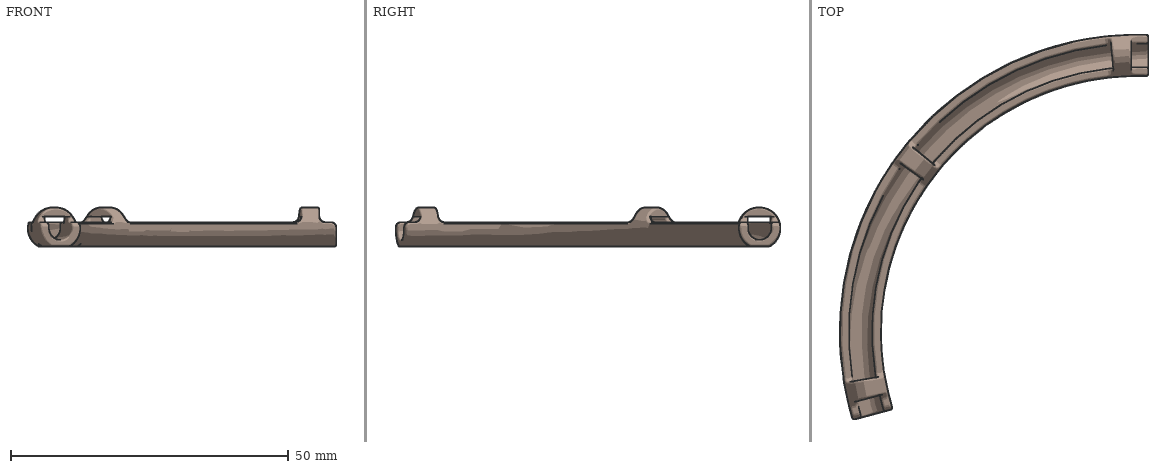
import cadquery as cq
import math

PATH_RADIUS = 49.94
STRAIGHT_LENGTH = 2.0
START_ANGLE = 90.0
SWEEP_ANGLE = 105.0

TUBE_RADIUS = 3.75
FLAT_DEPTH = 3.35
CHANNEL_RADIUS = 2.1
CHANNEL_CEILING = CHANNEL_RADIUS

RIM_HEIGHT = 1.1
BAND_LENGTH = 3.5
END_SLOT_LENGTH = 3.05
CORNER_RADIUS = CHANNEL_CEILING - RIM_HEIGHT
EDGE_RADIUS = 0.43

CUT_MARGIN = 5.0
TOLERANCE = 5e-3

END_ANGLE = START_ANGLE + SWEEP_ANGLE
MIDDLE_ANGLE = START_ANGLE + SWEEP_ANGLE / 2
ORIGIN = (0, 0, 0)
UPWARD = (0, 0, 1)
SECTION_AXIS = (0, 1, 0)


def arc_angle(length):
    """Angle in degrees that a length takes up along the arc of the tube axis."""
    return math.degrees(length / PATH_RADIUS)


def turned(shape, angle):
    """Turn a shape about the arc centre."""
    return shape.rotate(ORIGIN, UPWARD, angle)


def along_path(section):
    """Carry a section, drawn in the XZ plane around x = PATH_RADIUS, along the whole tube axis."""
    outline = section.val()
    arc = cq.Workplane("XZ").add(outline).toPending().revolve(SWEEP_ANGLE, ORIGIN, SECTION_AXIS)
    straight = cq.Workplane("XZ").add(outline).toPending().extrude(STRAIGHT_LENGTH)
    far_straight = straight.mirror("XZ")
    return (
        turned(arc, START_ANGLE)
        .union(turned(straight, START_ANGLE))
        .union(turned(far_straight, END_ANGLE))
    )


def make_tube():
    """Round bar with a flat underside."""
    half_flat = math.sqrt(TUBE_RADIUS**2 - FLAT_DEPTH**2)
    section = (
        cq.Workplane("XZ")
        .moveTo(PATH_RADIUS - half_flat, -FLAT_DEPTH)
        .threePointArc((PATH_RADIUS, TUBE_RADIUS), (PATH_RADIUS + half_flat, -FLAT_DEPTH))
        .close()
    )
    return along_path(section)


def make_channel():
    """Bore with a half-round floor, straight walls and a flat ceiling."""
    inner = PATH_RADIUS - CHANNEL_RADIUS
    outer = PATH_RADIUS + CHANNEL_RADIUS
    section = (
        cq.Workplane("XZ")
        .moveTo(inner, CHANNEL_CEILING)
        .lineTo(inner, 0)
        .threePointArc((PATH_RADIUS, -CHANNEL_RADIUS), (outer, 0))
        .lineTo(outer, CHANNEL_CEILING)
        .close()
    )
    return along_path(section)


def make_window(start, end):
    """Cutter that opens the top of the tube between two angles, with rounded lower corners."""
    window = (
        cq.Workplane("XZ")
        .center(PATH_RADIUS, RIM_HEIGHT + CUT_MARGIN)
        .rect(2 * CUT_MARGIN, 2 * CUT_MARGIN)
        .revolve(end - start, (-PATH_RADIUS, 0, 0), (-PATH_RADIUS, 1, 0))
    )
    lower_corners = window.faces("<Z").edges("%LINE")
    return turned(lower_corners.fillet(CORNER_RADIUS), start)


def make_end_slot():
    """Cutter for the straight end that runs from y = -STRAIGHT_LENGTH towards +Y."""
    top = 2 * CUT_MARGIN
    face_y = -STRAIGHT_LENGTH
    band_y = face_y + END_SLOT_LENGTH
    return (
        cq.Workplane("YZ")
        .moveTo(face_y - CUT_MARGIN, top)
        .lineTo(face_y - CUT_MARGIN, RIM_HEIGHT - CORNER_RADIUS)
        .lineTo(face_y, RIM_HEIGHT - CORNER_RADIUS)
        .radiusArc((face_y + CORNER_RADIUS, RIM_HEIGHT), CORNER_RADIUS)
        .lineTo(band_y - CORNER_RADIUS, RIM_HEIGHT)
        .radiusArc((band_y, RIM_HEIGHT + CORNER_RADIUS), -CORNER_RADIUS)
        .lineTo(band_y, top)
        .close()
        .extrude(PATH_RADIUS + 2 * CUT_MARGIN)
    )


def make_axis():
    """Tube axis as a wire."""
    sweep = math.radians(SWEEP_ANGLE)
    path = (
        cq.Workplane("XY")
        .moveTo(PATH_RADIUS, -STRAIGHT_LENGTH)
        .lineTo(PATH_RADIUS, 0)
        .threePointArc(
            (PATH_RADIUS * math.cos(sweep / 2), PATH_RADIUS * math.sin(sweep / 2)),
            (PATH_RADIUS * math.cos(sweep), PATH_RADIUS * math.sin(sweep)),
        )
        .polarLine(STRAIGHT_LENGTH, SWEEP_ANGLE + 90)
        .wire()
    )
    return turned(path, START_ANGLE).val()


def same(first, second):
    """True when two lengths agree."""
    return abs(first - second) < TOLERANCE


def is_rounded(edge, axis):
    """True for an edge where an opening or an end face meets the tube skin or the channel."""
    middle = edge.positionAt(0.5)
    point = cq.Vertex.makeVertex(*middle.toTuple())
    from_axis = point.distance(axis)
    sideways = math.sqrt(max(from_axis**2 - middle.z**2, 0))
    on_skin = same(from_axis, TUBE_RADIUS) or same(middle.z, -FLAT_DEPTH)
    on_channel = same(from_axis, CHANNEL_RADIUS) or same(sideways, CHANNEL_RADIUS)
    from_end = min((middle - axis.positionAt(end)).Length for end in (0, 1))
    on_end_face = same(from_end, from_axis)
    opening_bottom = RIM_HEIGHT - CORNER_RADIUS
    above_bottom = edge.BoundingBox().zmin > opening_bottom - TOLERANCE
    on_opening = above_bottom and not same(middle.z, CHANNEL_CEILING)
    return (on_skin or on_channel) and (on_end_face or on_opening)


def cut_openings(tube):
    """Cut both windows and both end slots into the top of the tube."""
    half_band = arc_angle(BAND_LENGTH / 2)
    inset = arc_angle(END_SLOT_LENGTH + BAND_LENGTH - STRAIGHT_LENGTH)
    slot = make_end_slot()
    cutters = [
        make_window(START_ANGLE + inset, MIDDLE_ANGLE - half_band),
        make_window(MIDDLE_ANGLE + half_band, END_ANGLE - inset),
        turned(slot, START_ANGLE),
        turned(slot.mirror("XZ"), END_ANGLE),
    ]
    for cutter in cutters:
        tube = tube.cut(cutter)
    return tube


def round_edges(tube):
    """Round the edges of the openings and of the end faces."""
    axis = make_axis()
    edges = [edge for edge in tube.edges().vals() if is_rounded(edge, axis)]
    return tube.newObject(edges).fillet(EDGE_RADIUS)


body = make_tube().cut(make_channel())
result = round_edges(cut_openings(body))